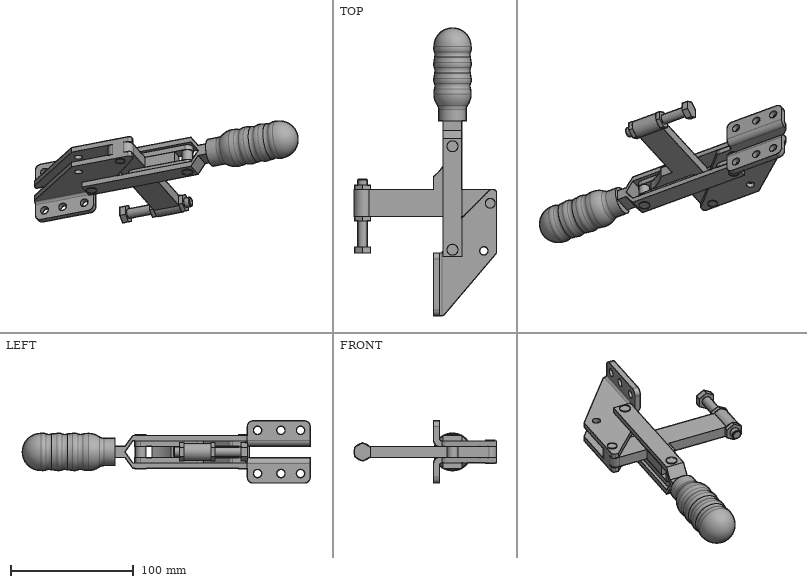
import cadquery as cq
import math


arm_thickness = 9.1
arm_half = arm_thickness / 2
plate_outer = 9.0
strap_outer = 13.4
pin_outer = 14.0
arm_pin_outer = 9.5

handle_pin_radius = 4.5
upper_pin_y = 84.2
arm_pin_x = 30.7
arm_pin_y = 37.8
arm_pin_radius = 4.0

arm_bottom = 27.0
arm_top = 49.0
arm_end_x = 35.9
arm_end_radius = 6.0
barrel_x = -73.2
barrel_radius = 7.0

stop_left_x = -15.5
stop_shoulder_y = 59.5
stop_flank_mid = (-8.0, 67.8)
stop_top_half = 4.7
stop_top_y = 75.0

bolt_radius = 4.0
bolt_tip_y = 57.5
bolt_tip_chamfer = 0.7
bolt_head_bottom = -2.8
bolt_head_height = 5.2
nut_height = 3.5
hex_flats = 13.1

link_radius = 5.0
link_pin_y = arm_pin_y

plate_left_x = -7.3
plate_left_y = 11.0
plate_left_radius = 4.2
plate_step_y = -1.2
plate_step_radius = 1.0
plate_bottom_y = -53.7
plate_toe_x = -7.3
plate_toe_radius = 1.9
plate_corner_y = -2.8
plate_corner_radius = 2.3
plate_hole = (25.5, -1.0)
mount_hole_radius = 3.3

flange_left_x = -15.5
flange_right_x = -10.5
flange_bend_end_x = -8.5
flange_top_y = -2.5
flange_bottom_y = -54.0
overall_height = 51.0
flange_outer = overall_height / 2
flange_corner_radius = 5.0
bend_outer_radius = 4.7
bend_inner_radius = flange_bend_end_x - flange_right_x
flange_hole_offset = 17.5
flange_hole_ys = (-11.0, -30.0, -46.0)

strap_half_width = 7.7
strap_bottom_y = -5.5
strap_bend_y = 90.5
fork_root_y = 96.8
shank_half = 4.7

grip_bottom_y = 104.8
collar_radius = 11.3
collar_top_y = 114.0
ridge_radius = 15.2
groove_radius = 14.3
ridge_edge_radius = (ridge_radius + groove_radius) / 2
first_ridge_y = 126.6
ridge_pitch = 13.0
ridge_count = 4
ridge_half = ridge_pitch / 3
grip_shoulder_drop = 9.1


def slab(profile, z_low, z_high):
    """Extrude a closed XY profile between two heights."""
    return profile.extrude(z_high - z_low).translate((0, 0, z_low))


def both_sides(body):
    """Add the mirror image on the other side of the mid-plane."""
    return body.union(body.mirror("XY"))


def pin(x, y, radius, half_length):
    return slab(cq.Workplane("XY").center(x, y).circle(radius), -half_length, half_length)


def make_arm():
    arm_height = arm_top - arm_bottom
    arm_length = arm_end_x - barrel_x
    bar = cq.Workplane("XY").box(arm_length, arm_height, 2 * arm_half, centered=(False, False, True))
    bar = bar.translate((barrel_x, arm_bottom, 0)).edges("|Z and >X").fillet(arm_end_radius)
    stop = (
        cq.Workplane("XY")
        .moveTo(stop_left_x, arm_bottom)
        .lineTo(stop_left_x, stop_shoulder_y)
        .threePointArc(stop_flank_mid, (-stop_top_half, stop_top_y))
        .lineTo(stop_top_half, stop_top_y)
        .lineTo(stop_top_half, arm_bottom)
        .close()
    )
    return bar.union(slab(stop, -arm_half, arm_half))


def along_bolt(y_bottom):
    """Workplane square to the bolt axis, extruding toward +Y."""
    plane = cq.Plane(origin=(barrel_x, y_bottom, 0), xDir=(0, 0, 1), normal=(0, 1, 0))
    return cq.Workplane(plane)


def make_bolt():
    barrel = along_bolt(arm_bottom).circle(barrel_radius).extrude(arm_top - arm_bottom)
    shaft = along_bolt(bolt_head_bottom).circle(bolt_radius).extrude(bolt_tip_y - bolt_head_bottom)
    bolt = barrel.union(shaft.faces(">Y").chamfer(bolt_tip_chamfer))
    hex_corners = hex_flats / math.cos(math.radians(30))
    hexagons = (
        (bolt_head_bottom, bolt_head_height),
        (arm_bottom - nut_height, nut_height),
        (arm_top, nut_height),
    )
    for y_bottom, height in hexagons:
        bolt = bolt.union(along_bolt(y_bottom).polygon(6, hex_corners).extrude(height))
    return bolt


def make_links():
    link_length = upper_pin_y - link_pin_y
    link_middle = (upper_pin_y + link_pin_y) / 2
    outline = cq.Workplane("XY").center(0, link_middle)
    outline = outline.slot2D(link_length + 2 * link_radius, 2 * link_radius, 90)
    return both_sides(slab(outline, arm_half, plate_outer))


def make_base_plate():
    outline = cq.Workplane("XY").polyline([
        (flange_bend_end_x, plate_bottom_y),
        (plate_toe_x, plate_bottom_y),
        (arm_end_x, plate_corner_y),
        (arm_end_x, arm_top),
        (arm_pin_x, arm_top),
        (plate_left_x, plate_left_y),
        (plate_left_x, plate_step_y),
        (flange_bend_end_x, plate_step_y),
    ]).close()
    plate = slab(outline, arm_half, plate_outer)
    rounded_corners = (
        (arm_end_x, arm_top, plate_corner_radius),
        (plate_left_x, plate_left_y, plate_left_radius),
        (flange_bend_end_x, plate_step_y, plate_step_radius),
        (plate_toe_x, plate_bottom_y, plate_toe_radius),
    )
    middle_z = (arm_half + plate_outer) / 2
    for x, y, radius in rounded_corners:
        corner = cq.selectors.NearestToPointSelector((x, y, middle_z))
        plate = plate.edges("|Z").edges(corner).fillet(radius)
    hole = pin(*plate_hole, mount_hole_radius, pin_outer)
    return plate.cut(hole)


def make_flange():
    length = flange_top_y - flange_bottom_y
    section = (
        cq.Workplane("XZ", origin=(0, flange_top_y, 0))
        .moveTo(flange_bend_end_x, arm_half)
        .lineTo(flange_left_x + bend_outer_radius, arm_half)
        .radiusArc((flange_left_x, arm_half + bend_outer_radius), bend_outer_radius)
        .lineTo(flange_left_x, flange_outer)
        .lineTo(flange_right_x, flange_outer)
        .lineTo(flange_right_x, plate_outer + bend_inner_radius)
        .radiusArc((flange_bend_end_x, plate_outer), -bend_inner_radius)
        .close()
    )
    flange = section.extrude(length)
    flange = flange.edges("|X and >Z").fillet(flange_corner_radius)
    holes = (
        cq.Workplane("YZ", origin=(flange_left_x, 0, 0))
        .pushPoints([(y, flange_hole_offset) for y in flange_hole_ys])
        .circle(mount_hole_radius)
        .extrude(flange_right_x - flange_left_x)
    )
    return flange.cut(holes)


def make_fork():
    """Two straps that converge on the shank, bent in the YZ plane."""
    half_outline = (
        cq.Workplane("YZ", origin=(-strap_half_width, 0, 0))
        .moveTo(strap_bottom_y, plate_outer)
        .lineTo(strap_bottom_y, strap_outer)
        .lineTo(strap_bend_y, strap_outer)
        .lineTo(fork_root_y, shank_half)
        .lineTo(grip_bottom_y, shank_half)
        .lineTo(grip_bottom_y, 0)
        .lineTo(fork_root_y, 0)
        .lineTo(strap_bend_y, plate_outer)
        .close()
    )
    return both_sides(half_outline.extrude(2 * strap_half_width))


def make_grip():
    shoulder_y = first_ridge_y - grip_shoulder_drop
    shoulder_radius = math.sqrt(ridge_radius ** 2 - grip_shoulder_drop ** 2)
    half_drop = grip_shoulder_drop / 2
    shoulder_mid = (math.sqrt(ridge_radius ** 2 - half_drop ** 2), first_ridge_y - half_drop)
    profile = (
        cq.Workplane("XY")
        .moveTo(0, grip_bottom_y)
        .lineTo(collar_radius, grip_bottom_y)
        .lineTo(collar_radius, collar_top_y)
        .tangentArcPoint((shoulder_radius, shoulder_y), relative=False)
        .threePointArc(shoulder_mid, (ridge_radius, first_ridge_y))
    )
    for i in range(ridge_count - 1):
        ridge_y = first_ridge_y + i * ridge_pitch
        next_y = ridge_y + ridge_pitch
        groove = (groove_radius, ridge_y + ridge_pitch / 2)
        profile = (
            profile
            .tangentArcPoint((ridge_edge_radius, ridge_y + ridge_half), relative=False)
            .threePointArc(groove, (ridge_edge_radius, next_y - ridge_half))
            .tangentArcPoint((ridge_radius, next_y), relative=False)
        )
    last_ridge_y = first_ridge_y + (ridge_count - 1) * ridge_pitch
    dome_step = ridge_radius * math.sqrt(0.5)
    profile = profile.threePointArc(
        (dome_step, last_ridge_y + dome_step), (0, last_ridge_y + ridge_radius)
    ).close()
    return profile.revolve(360, (0, 0, 0), (0, 1, 0))


result = (
    make_arm()
    .union(make_bolt())
    .union(make_links())
    .union(both_sides(make_base_plate().union(make_flange())))
    .union(make_fork())
    .union(make_grip())
    .union(pin(0, 0, handle_pin_radius, pin_outer))
    .union(pin(0, upper_pin_y, handle_pin_radius, pin_outer))
    .union(pin(arm_pin_x, arm_pin_y, arm_pin_radius, arm_pin_outer))
)